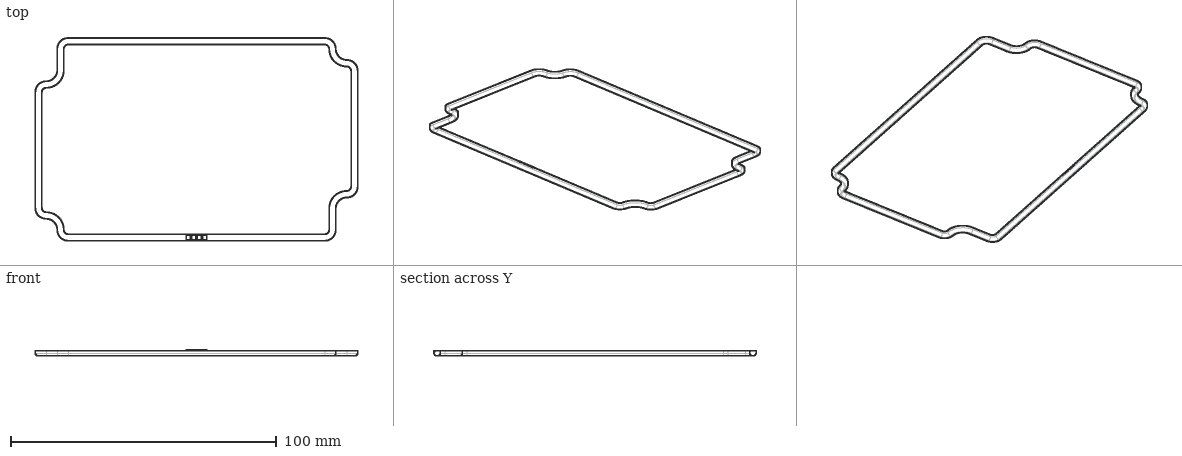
import cadquery as cq

length = 121.4
width = 76.4
height = 2.3

marking_height = 0.3
band_height = height - marking_height
band_width = 2.5
half_band = band_width / 2
bottom_radius = 1.1

block_count = 4
block_pitch = 2.1
block_length = 1.5
block_width = 1.8

corner_radius = 4.1
step_depth = 2 * corner_radius
short_step = 2 * corner_radius
long_step = 16.3

end_x = length / 2
side_y = width / 2
step_x = end_x - step_depth


def outer_half(path, turn):
    """Trace half of the outer edge clockwise; turn is 1 for the +X half, -1 for the -X half."""

    def at(x, y):
        return (turn * x, turn * y)

    short_y = side_y - short_step
    long_y = -side_y + long_step
    r = corner_radius
    return (
        path.lineTo(*at(step_x - r, side_y))
        .tangentArcPoint(at(step_x, side_y - r), relative=False)
        .tangentArcPoint(at(step_x + r, short_y), relative=False)
        .tangentArcPoint(at(end_x, short_y - r), relative=False)
        .lineTo(*at(end_x, long_y + r))
        .tangentArcPoint(at(end_x - r, long_y), relative=False)
        .tangentArcPoint(at(step_x, long_y - r), relative=False)
        .lineTo(*at(step_x, -side_y + r))
        .tangentArcPoint(at(step_x - r, -side_y), relative=False)
    )


def outer_edge():
    """Closed outer edge of the ring, the same after half a turn about Z."""
    path = cq.Workplane("XY").moveTo(0, side_y)
    path = outer_half(path, 1)
    path = outer_half(path, -1)
    return path.close()


def band():
    """Ring of constant width with rounded lower edges."""
    outer = outer_edge().extrude(band_height)
    opening = outer_edge().offset2D(-band_width).extrude(band_height)
    return outer.cut(opening).faces("<Z").edges().fillet(bottom_radius)


def marking():
    """Row of raised blocks centred on the -Y side."""
    return (
        cq.Workplane("XY", origin=(0, 0, band_height))
        .center(0, half_band - side_y)
        .rarray(block_pitch, 1.2, block_count, 1)
        .rect(block_length, block_width)
        .extrude(marking_height)
    )


result = band().union(marking())